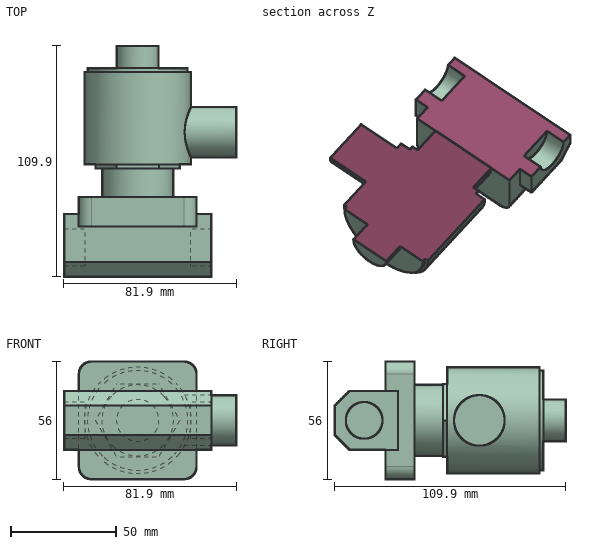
import cadquery as cq


block_length = 70.0
block_height = 28.0
block_depth = 30.0
block_chamfer = 7.0
port_diameter = 17.5
port_depth = 10.0
port_y = block_height / 2
flange_size = 56
flange_radius = 6.0
flange_start = 24.1
flange_thickness = 14.0
flange_end = flange_start + flange_thickness

neck_diameter = 34.0
neck_length = 13.5
nut_across_corners = 40.1
nut_thickness = 2.0
coil_diameter = 50.8
coil_length = 44
cap_diameter = 47.6
cap_thickness = 1.8
stem_diameter = 20.0
overall_length = 109.9
nut_start = flange_end + neck_length
coil_start = nut_start + nut_thickness
cap_start = coil_start + coil_length
stem_start = cap_start + cap_thickness
stem_length = overall_length - stem_start

outlet_diameter = 24.1
outlet_reach = 46.9
outlet_y = 68.8


def section_at(y):
    """Sketch plane across the valve axis, extruding toward +Y."""
    return cq.Workplane(cq.Plane(origin=(0, y, 0), xDir=(1, 0, 0), normal=(0, 1, 0)))


def disc(start, diameter, length):
    return section_at(start).circle(diameter / 2).extrude(length)


def make_block():
    block = cq.Workplane("XY").box(block_length, block_depth, block_height)
    block = block.translate((0, block_depth / 2, 0))
    return block.faces("<Y").edges("|X").chamfer(block_chamfer)


def make_flange():
    flange = section_at(flange_start).rect(flange_size, flange_size).extrude(flange_thickness)
    return flange.edges("|Y").fillet(flange_radius)


def make_port(side):
    """Blind port bored inward from the block end at X = side * block_length / 2."""
    end_plane = cq.Plane(origin=(side * block_length / 2, port_y, 0), xDir=(0, 1, 0), normal=(-side, 0, 0))
    return cq.Workplane(end_plane).circle(port_diameter / 2).extrude(port_depth)


def make_valve_body():
    body = make_block().union(make_flange())
    for side in (-1, 1):
        body = body.cut(make_port(side))
    return body


def make_outlet():
    outlet = cq.Workplane("YZ").center(outlet_y, 0).circle(outlet_diameter / 2)
    return outlet.extrude(outlet_reach)


def make_solenoid():
    nut = section_at(nut_start).polygon(6, nut_across_corners).extrude(nut_thickness)
    coil = disc(coil_start, coil_diameter, coil_length).union(make_outlet())
    cap = disc(cap_start, cap_diameter, cap_thickness)
    stem = disc(stem_start, stem_diameter, stem_length)
    neck = disc(flange_end, neck_diameter, neck_length)
    return neck.union(nut).union(coil).union(cap).union(stem)


valve_body = make_valve_body()
solenoid = make_solenoid()
result = cq.Compound.makeCompound([valve_body.val(), solenoid.val()])